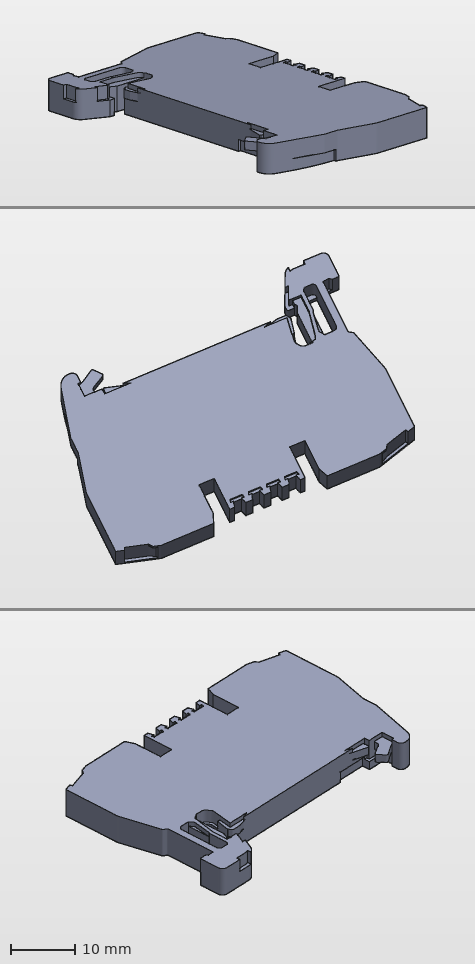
import cadquery as cq
import math

LENGTH = 51.0
HEIGHT = 34.81
THICKNESS = 5.0
MID_X = LENGTH / 2

BASE_WEB_TOP = 1.0
RAIL_PAD_TOP = 1.5
UNDERCUT_TOP = 1.94
CLIP_BOTTOM = 2.75
CLIP_TOP = 4.2
OPEN_TOP = THICKNESS + 1.0
COINCIDENT = 1e-6

BOTTOM_Y = 7.3
RECESS_Y = 7.75
SIDE_BEND_Y = 21.95
SIDE_ROUND = 1.5
SHOULDER_Y = 32.81
RAIL_SEAT_Y = 6.8

SLOPE_RUN = 6.88
ENTRY_X = 15.83
ENTRY_Y = 33.16
NOTCH_X = 16.48
NOTCH_FLOOR_Y = 27.9
COMB_X = 19.06
COMB_TOP_Y = 33.66

GAP_COUNT = 4
GAP_PITCH = 3.1
GAP_TOP_WIDTH = 1.9
GAP_FLOOR_WIDTH = 1.3
GAP_FLOOR_Y = 32.66
GAP_RELIEF_WIDTH = 2.3
GAP_RELIEF_FLOOR_WIDTH = 2.05
GAP_RELIEF_Y = 32.16
GAP_RELIEF_BOTTOM = 4.6

FOOT_TOP_Y = 4.75
FOOT_HEEL_ROUND = 1.0
FOOT_TOE_ROUND = 1.6
STEM_X = 2.66
STEM_ROUND = 1.0
NOTCH_OPEN_Y = FOOT_TOP_Y + 1.2 * STEM_ROUND
BARB_X = 9.37
BARB_TOP_Y = 5.84
BARB_BASE_X = 8.15
BARB_SETBACK_Y = 2.94
POCKET_START_X = 3.93
POCKET_END_X = 6.54
POCKET_DEPTH = 0.6
ARM_RIGHT_X = 8.35
ARM_FOOT_Y = 5.17
SLOT_LEFT_X = 3.92
SLOT_RIGHT_X = 6.17
SLOT_TOP_Y = 12.8
SLOT_ROUND = 0.75
SLOT_FOOT_X = 6.05
SLOT_STEP_Y = 8.35
RELIEF_TOP_Y = 13.25
SLOT_WEB_Y = 5.0
SLOT_END_Y = 4.2
SLOT_END_ROUND = 0.6

LEG_X = 43.95
LEG_SEAT_X = 44.4
LEG_BOTTOM_Y = 2.37
LEG_TOP_X = 49.3
LEG_CORNER_X = 46.69
RELIEF_RADIUS = 40.0
RELIEF_START = (47.8, 6.6)
RELIEF_END = (48.85, 14.8)

GAP_INSIDE_X = 9.5
LUG_ROOT_Y = 10.3
LEFT_LUG_END_X = 12.9
LEFT_LUG_Y = 6.98
LEFT_RECESS_END_X = 14.1
RIGHT_RECESS_X = 36.9
UNDERCUT_X = 35.3
RIGHT_LUG_START_X = 38.1
PAD_X = 40.9
PAD_Y = 6.29
RIGHT_LUG_END_X = 41.08
CLIP_SEAT_X = 41.4

GRIP_BOTTOM = 0.5
GRIP_DEPTH = 0.5
GRIP_START_X = 1.3
GRIP_FLOOR_START_X = 1.5
GRIP_FLOOR_END_X = 5.15
GRIP_END_X = 5.6
GRIP_UNDERCUT_FLOOR_X = 6.2
GRIP_UNDERCUT_END_X = 6.4
GRIP_UNDERCUT_TOP = 4.35


def mirrored_x(x):
    return LENGTH - x


def rounded_outline(corners):
    """Closed wire through (x, y, radius) corners; a positive radius rounds the corner."""
    stretches = []
    for i, (x, y, radius) in enumerate(corners):
        corner = cq.Vector(x, y)
        if radius == 0:
            stretches.append([corner])
            continue
        before = cq.Vector(*corners[i - 1][:2])
        after = cq.Vector(*corners[(i + 1) % len(corners)][:2])
        to_before = (before - corner).normalized()
        to_after = (after - corner).normalized()
        half_angle = to_before.getAngle(to_after) / 2
        setback = radius / math.tan(half_angle)
        bisector = (to_before + to_after).normalized()
        middle = corner + bisector * (radius / math.sin(half_angle) - radius)
        stretches.append([corner + to_before * setback, middle, corner + to_after * setback])

    edges = []
    for i, stretch in enumerate(stretches):
        previous_end = stretches[i - 1][-1]
        if (stretch[0] - previous_end).Length > COINCIDENT:
            edges.append(cq.Edge.makeLine(previous_end, stretch[0]))
        if len(stretch) == 3:
            edges.append(cq.Edge.makeThreePointArc(*stretch))
    return cq.Wire.assembleEdges(edges)


def prism(corners, bottom, top):
    """Upright prism between two levels over a rounded outline."""
    wire = rounded_outline(corners)
    return cq.Workplane("XY").add(wire).toPending().extrude(top - bottom).translate((0, 0, bottom))


def sharp(*points):
    """Corners without rounding."""
    return [(x, y, 0) for x, y in points]


def housing():
    """Full-thickness body with foot, spring arm gap and right leg in one outline."""
    foot = [
        (0, 0, FOOT_HEEL_ROUND),
        (7.06, 0, FOOT_TOE_ROUND),
        (BARB_X, 4.8, 0),
        (BARB_X, BARB_TOP_Y, 0.3),
        (BARB_BASE_X, BARB_TOP_Y, 0),
        (7.84, 6.2, 0.2),
        (ARM_RIGHT_X, BOTTOM_Y, 0),
    ]
    arm_gap = [
        (ARM_RIGHT_X, SLOT_TOP_Y, 0.75),
        (10.6, SLOT_TOP_Y, 1.2),
        (10.35, 11.0, 0),
        (9.65, 7.9, 0.2),
        (9.95, BOTTOM_Y, 0),
    ]
    leg = [
        (CLIP_SEAT_X, BOTTOM_Y, 0),
        (CLIP_SEAT_X, RAIL_SEAT_Y, 0),
        (LEG_SEAT_X, RAIL_SEAT_Y, 0),
        (LEG_SEAT_X, 4.46, 0),
        (LEG_X, 4.36, 0),
        (LEG_X, LEG_BOTTOM_Y, 0.9),
        (LEG_CORNER_X, LEG_BOTTOM_Y, 2.1),
        (LEG_TOP_X, 12.4, 0),
        (LEG_TOP_X, 15.2, 0.5),
        (LENGTH, SIDE_BEND_Y, SIDE_ROUND),
    ]
    half_top = sharp(
        (0, SHOULDER_Y),
        (SLOPE_RUN, HEIGHT),
        (ENTRY_X, HEIGHT),
        (NOTCH_X, ENTRY_Y),
        (NOTCH_X, NOTCH_FLOOR_Y),
        (COMB_X, NOTCH_FLOOR_Y),
        (COMB_X, COMB_TOP_Y),
    )
    right_top = [(mirrored_x(x), y, r) for x, y, r in half_top]
    left_side = [
        (0, SIDE_BEND_Y, SIDE_ROUND),
        (1.95, 14.35, 0.4),
        (STEM_X, 13.9, 0.3),
        (STEM_X, FOOT_TOP_Y, STEM_ROUND),
        (0, FOOT_TOP_Y, 0.15),
    ]
    outline = foot + arm_gap + leg + right_top + half_top[::-1] + left_side
    return prism(outline, 0, THICKNESS)


def comb_gaps():
    """Tapered gaps between the comb teeth, each with a shallow wider relief on the top face."""
    cutters = cq.Workplane("XY")
    for i in range(GAP_COUNT):
        x = MID_X + (i - (GAP_COUNT - 1) / 2) * GAP_PITCH
        gap = sharp(
            (x - GAP_FLOOR_WIDTH / 2, GAP_FLOOR_Y),
            (x + GAP_FLOOR_WIDTH / 2, GAP_FLOOR_Y),
            (x + GAP_TOP_WIDTH / 2, COMB_TOP_Y),
            (x - GAP_TOP_WIDTH / 2, COMB_TOP_Y),
        )
        relief = sharp(
            (x - GAP_RELIEF_FLOOR_WIDTH / 2, GAP_RELIEF_Y),
            (x + GAP_RELIEF_FLOOR_WIDTH / 2, GAP_RELIEF_Y),
            (x + GAP_RELIEF_WIDTH / 2, GAP_FLOOR_Y),
            (x - GAP_RELIEF_WIDTH / 2, GAP_FLOOR_Y),
        )
        cutters = cutters.add(prism(gap, 0, THICKNESS))
        cutters = cutters.add(prism(relief, GAP_RELIEF_BOTTOM, OPEN_TOP))
    return cutters.combine()


def grip_pockets():
    """Pockets in both sloping shoulders, open at the top face and undercut at the upper end."""
    def slope_y(x):
        return SHOULDER_Y + (HEIGHT - SHOULDER_Y) * x / SLOPE_RUN

    floor_end = (GRIP_FLOOR_END_X, slope_y(GRIP_FLOOR_END_X) - GRIP_DEPTH)
    pocket = sharp(
        (GRIP_START_X, slope_y(GRIP_START_X)),
        (GRIP_FLOOR_START_X, slope_y(GRIP_FLOOR_START_X) - GRIP_DEPTH),
        floor_end,
        (GRIP_END_X, slope_y(GRIP_END_X)),
        (GRIP_END_X, HEIGHT),
        (GRIP_START_X, HEIGHT),
    )
    undercut = sharp(
        floor_end,
        (GRIP_UNDERCUT_FLOOR_X, slope_y(GRIP_UNDERCUT_FLOOR_X) - GRIP_DEPTH / 2),
        (GRIP_UNDERCUT_END_X, slope_y(GRIP_UNDERCUT_END_X)),
        (GRIP_UNDERCUT_END_X, HEIGHT),
        (GRIP_FLOOR_END_X, HEIGHT),
    )
    left = prism(pocket, GRIP_BOTTOM, OPEN_TOP)
    left = left.union(prism(undercut, GRIP_BOTTOM, GRIP_UNDERCUT_TOP))
    right = left.mirror("YZ").translate((LENGTH, 0, 0))
    return left.add(right).combine()


def arm_slot():
    """Through slot left of the spring arm, widened above the base web and again above the clip."""
    through = [
        (SLOT_LEFT_X, SLOT_WEB_Y, 0),
        (SLOT_FOOT_X, SLOT_WEB_Y, 0),
        (SLOT_FOOT_X, SLOT_STEP_Y, 0),
        (SLOT_RIGHT_X, SLOT_STEP_Y, 0),
        (SLOT_RIGHT_X, SLOT_TOP_Y, 0),
        (SLOT_LEFT_X, SLOT_TOP_Y, SLOT_ROUND),
    ]
    lower_end = [
        (SLOT_LEFT_X, SLOT_END_Y, SLOT_END_ROUND),
        (SLOT_FOOT_X, SLOT_END_Y, SLOT_END_ROUND),
        (SLOT_FOOT_X, SLOT_WEB_Y, 0),
        (SLOT_LEFT_X, SLOT_WEB_Y, 0),
    ]
    arm_bevel = [
        (SLOT_RIGHT_X, SLOT_STEP_Y, 0),
        (6.75, 12.0, 0.3),
        (SLOT_RIGHT_X, SLOT_TOP_Y, 0),
    ]
    slot = prism(through, 0, THICKNESS)
    slot = slot.union(prism(lower_end, BASE_WEB_TOP, THICKNESS))
    return slot.union(prism(arm_bevel, CLIP_TOP, THICKNESS))


def arm_relief():
    """Setback of the spring arm and of the gap's far wall near the top face."""
    arm_side = [
        (6.72, ARM_FOOT_Y, 0),
        (BARB_BASE_X, ARM_FOOT_Y, 0),
        (BARB_BASE_X, BARB_TOP_Y, 0),
        (ARM_RIGHT_X, BOTTOM_Y, 0),
        (ARM_RIGHT_X, 13.05, 0),
        (7.75, 12.9, 0.6),
        (7.5, 12.1, 0),
        (6.72, 8.2, 0),
    ]
    far_wall = [
        (ARM_RIGHT_X, 11.0, 0),
        (ARM_RIGHT_X, RELIEF_TOP_Y, 0.2),
        (10.2, RELIEF_TOP_Y, 1.0),
        (10.98, 12.0, 0.6),
        (10.28, RECESS_Y, 0),
        (GAP_INSIDE_X, RECESS_Y, 0),
    ]
    wall_above_clip = [
        (10.75, LUG_ROOT_Y, 0),
        (10.28, RECESS_Y, 0),
        (GAP_INSIDE_X, RECESS_Y, 0),
        (GAP_INSIDE_X, LUG_ROOT_Y, 0),
    ]
    relief = prism(far_wall, CLIP_BOTTOM, OPEN_TOP)
    lug = prism(wall_above_clip, CLIP_BOTTOM, CLIP_TOP)
    return relief.cut(lug).union(prism(arm_side, CLIP_TOP, OPEN_TOP))


def foot_cuts():
    """Stem corner notch, setback of the barb face and pocket in the foot's lower face."""
    stem_notch = sharp(
        (1.2, NOTCH_OPEN_Y),
        (1.2, FOOT_TOP_Y),
        (1.6, 4.4),
        (STEM_X, 4.5),
        (STEM_X, NOTCH_OPEN_Y),
    )
    barb_face = sharp(
        (7.84, BARB_SETBACK_Y),
        (BARB_X, BARB_SETBACK_Y),
        (BARB_X, BARB_TOP_Y),
        (BARB_BASE_X, BARB_TOP_Y),
        (BARB_BASE_X, ARM_FOOT_Y),
        (8.75, ARM_FOOT_Y),
        (8.75, 4.85),
    )
    lower_pocket = sharp(
        (POCKET_START_X, 0),
        (POCKET_END_X, 0),
        (POCKET_END_X, 0.75),
        (6.05, POCKET_DEPTH),
        (POCKET_START_X, POCKET_DEPTH),
    )
    cuts = prism(stem_notch, BASE_WEB_TOP, OPEN_TOP)
    cuts = cuts.union(prism(barb_face, CLIP_BOTTOM, OPEN_TOP))
    return cuts.union(prism(lower_pocket, CLIP_BOTTOM, OPEN_TOP))


def edge_recesses():
    """Set-back stretches of the lower edge, above the clip and under the right end."""
    left = sharp(
        (GAP_INSIDE_X, BOTTOM_Y),
        (LEFT_LUG_END_X, BOTTOM_Y),
        (LEFT_RECESS_END_X, RECESS_Y),
        (GAP_INSIDE_X, RECESS_Y),
    )
    right = sharp(
        (RIGHT_LUG_START_X, BOTTOM_Y),
        (CLIP_SEAT_X, BOTTOM_Y),
        (CLIP_SEAT_X, RECESS_Y),
        (RIGHT_RECESS_X, RECESS_Y),
    )
    undercut = sharp(
        (UNDERCUT_X, BOTTOM_Y),
        (PAD_X, BOTTOM_Y),
        (PAD_X, RECESS_Y),
        (UNDERCUT_X, RECESS_Y),
    )
    cuts = prism(left, CLIP_TOP, OPEN_TOP).union(prism(right, CLIP_TOP, OPEN_TOP))
    lug_gap = sharp(
        (RIGHT_LUG_END_X, BOTTOM_Y),
        (CLIP_SEAT_X, BOTTOM_Y),
        (CLIP_SEAT_X, RECESS_Y),
        (RIGHT_LUG_END_X, RECESS_Y),
    )
    cuts = cuts.union(prism(lug_gap, CLIP_BOTTOM, OPEN_TOP))
    return cuts.union(prism(undercut, 0, UNDERCUT_TOP))


def leg_relief():
    """Relief at the lower face of the leg, curving gently away from its slanted outer side."""
    return (
        cq.Workplane("XY")
        .moveTo(*RELIEF_START)
        .radiusArc(RELIEF_END, -RELIEF_RADIUS)
        .lineTo(LENGTH, RELIEF_END[1])
        .lineTo(LENGTH, RELIEF_START[1])
        .close()
        .extrude(UNDERCUT_TOP)
    )


def clip_parts():
    """Rail clip lugs and tongue, and the rail pad below the tongue."""
    left_lug = [
        (9.65, RECESS_Y, 0),
        (10.1, LEFT_LUG_Y, 0.2),
        (11.58, LEFT_LUG_Y, 0.2),
        (LEFT_LUG_END_X, BOTTOM_Y, 0),
        (LEFT_LUG_END_X, RECESS_Y, 0),
    ]
    right_lug = sharp(
        (RIGHT_LUG_START_X, BOTTOM_Y),
        (40.88, 6.45),
        (RIGHT_LUG_END_X, 6.6),
        (RIGHT_LUG_END_X, RECESS_Y),
        (RIGHT_LUG_START_X, RECESS_Y),
    )
    tongue = [
        (42.6, RAIL_SEAT_Y, 0),
        (42.5, 5.8, 0.3),
        (40.0, 4.4, 0.3),
        (41.3, 2.78, 0.3),
        (43.48, 4.13, 0),
        (LEG_SEAT_X, 4.45, 0),
        (LEG_SEAT_X, RAIL_SEAT_Y, 0),
    ]
    pad = sharp(
        (PAD_X, PAD_Y),
        (LEG_SEAT_X, PAD_Y),
        (LEG_SEAT_X, RECESS_Y),
        (PAD_X, RECESS_Y),
    )
    parts = prism(left_lug, CLIP_BOTTOM, CLIP_TOP)
    parts = parts.union(prism(right_lug, CLIP_BOTTOM, CLIP_TOP))
    parts = parts.union(prism(tongue, CLIP_BOTTOM, CLIP_TOP))
    return parts.union(prism(pad, 0, RAIL_PAD_TOP))


body = housing()
cutters = [
    comb_gaps(),
    grip_pockets(),
    arm_slot(),
    arm_relief(),
    foot_cuts(),
    edge_recesses(),
    leg_relief(),
]
for cutter in cutters:
    body = body.cut(cutter)
result = body.union(clip_parts())